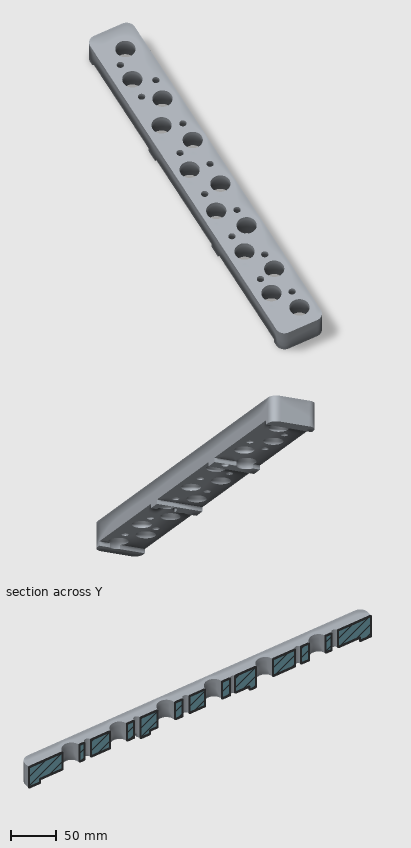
import cadquery as cq

LENGTH = 450.0
WIDTH = 55.0
HEIGHT = 30.0
CORNER_RADIUS = 10.0

FOOT_COUNT = 4
FOOT_LENGTH = 15.0
FOOT_HEIGHT = 5.0

LARGE_DIAMETER = 22.0
SMALL_DIAMETER = 8.0

LARGE_CENTERS = [
    (-193.3, 4.4),
    (-154.0, -8.0),
    (-115.7, 8.7),
    (-84.7, -8.9),
    (-51.4, 11.7),
    (-17.9, -10.0),
    (14.3, 10.7),
    (44.3, -10.4),
    (77.0, 9.6),
    (106.8, -8.9),
    (142.4, 8.7),
    (169.7, -9.3),
    (200.9, 8.6),
]

SMALL_CENTERS = [
    (-177.1, -10.4),
    (-141.0, 14.1),
    (-128.7, -10.1),
    (-76.0, 12.8),
    (-42.7, -8.6),
    (-14.4, 13.3),
    (18.4, -10.8),
    (53.8, 10.2),
    (82.4, -11.4),
    (120.5, 8.8),
    (147.5, -10.9),
    (178.5, 11.5),
]


def make_bar():
    """Rounded rectangular bar with its underside at Z = 0."""
    bar = cq.Workplane("XY").rect(LENGTH, WIDTH).extrude(HEIGHT)
    return bar.edges("|Z").fillet(CORNER_RADIUS)


def cut_underside(bar):
    """Clear the underside across the full width between neighbouring feet."""
    gap_count = FOOT_COUNT - 1
    gap_length = (LENGTH - FOOT_COUNT * FOOT_LENGTH) / gap_count
    pitch = gap_length + FOOT_LENGTH
    gap_places = cq.Workplane("XY").rarray(pitch, WIDTH, gap_count, 1)
    gaps = gap_places.rect(gap_length, WIDTH).extrude(FOOT_HEIGHT)
    return bar.cut(gaps)


def drill(bar, centers, diameter):
    """Drill through holes of one diameter at the given centres."""
    cores = cq.Workplane("XY").pushPoints(centers).circle(diameter / 2).extrude(HEIGHT)
    return bar.cut(cores)


result = make_bar()
result = cut_underside(result)
result = drill(result, LARGE_CENTERS, LARGE_DIAMETER)
result = drill(result, SMALL_CENTERS, SMALL_DIAMETER)